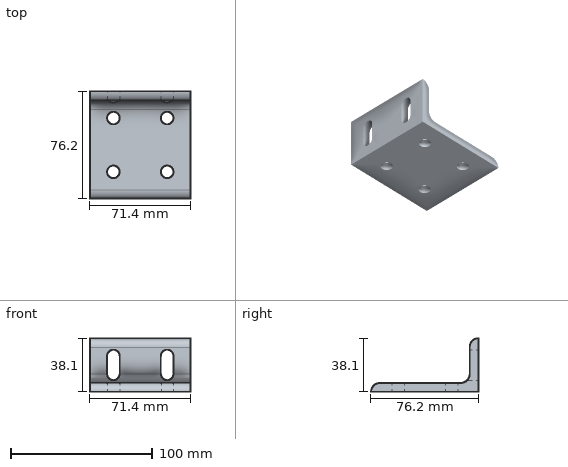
import cadquery as cq

length = 71.42
base_depth = 76.2
wall_height = 38.1
thickness = 6.35
toe_radius = thickness
root_radius = 6.35

hole_diameter = 8.74
hole_pitch = 38.1
back_row_offset = 19.05
slot_travel = 12.7
slot_height = wall_height / 2

column_positions = (-hole_pitch / 2, hole_pitch / 2)
row_positions = (-back_row_offset, -back_row_offset - hole_pitch)


def make_angle():
    """L-shaped bar with rounded leg tips and a filleted inside corner."""
    profile = (
        cq.Workplane("YZ", origin=(-length / 2, 0, 0))
        .lineTo(0, wall_height)
        .radiusArc((-thickness, wall_height - toe_radius), -toe_radius)
        .lineTo(-thickness, thickness + root_radius)
        .radiusArc((-thickness - root_radius, thickness), root_radius)
        .lineTo(-base_depth + toe_radius, thickness)
        .radiusArc((-base_depth, 0), -toe_radius)
        .close()
    )
    return profile.extrude(length)


def make_base_holes():
    """Round through holes in the base."""
    centres = [(x, y) for x in column_positions for y in row_positions]
    return (
        cq.Workplane("XY")
        .pushPoints(centres)
        .circle(hole_diameter / 2)
        .extrude(thickness)
    )


def make_wall_slots():
    """Upright slots through the wall, running out through the root fillet."""
    centres = [(x, slot_height) for x in column_positions]
    return (
        cq.Workplane("XZ")
        .pushPoints(centres)
        .slot2D(slot_travel + hole_diameter, hole_diameter, 90)
        .extrude(thickness + root_radius)
    )


result = make_angle().cut(make_base_holes()).cut(make_wall_slots())